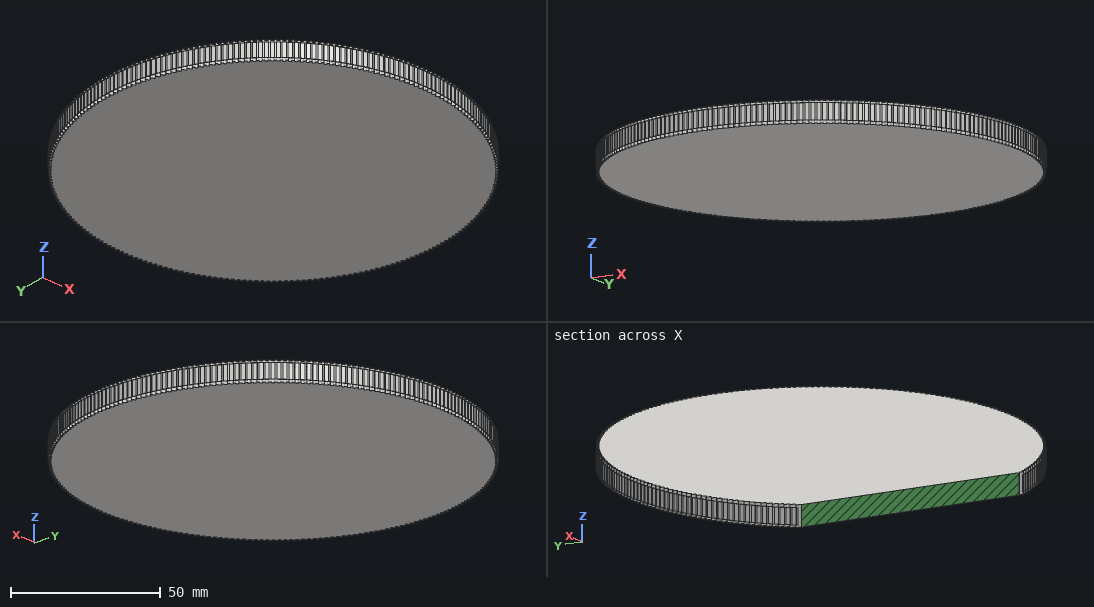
import cadquery as cq
import math

disc_diameter = 150.2
disc_height = 8.0
groove_count = 236
groove_width = 1.14
groove_depth = 0.83
lip_radius = 0.38
belt_thickness = 0.23
belt_step = 0.2
band_height = 1.0

disc_radius = disc_diameter / 2
tip_radius = disc_radius - belt_step
groove_half = groove_width / 2
pitch_angle = 2 * math.pi / groove_count
belt_height = disc_height - 2 * band_height

mouth_half = groove_half + lip_radius
mouth_radial = math.sqrt(tip_radius**2 - mouth_half**2)
lip_center = mouth_radial - lip_radius
lip_bulge = lip_radius * math.sqrt(0.5)
lip_middle_half = mouth_half - lip_bulge
lip_middle_radial = lip_center + lip_bulge


def rim_point(angle, radial, sideways):
    """Point given by its radial and sideways distance in the frame turned to the angle."""
    return cq.Vector(
        radial * math.cos(angle) - sideways * math.sin(angle),
        radial * math.sin(angle) + sideways * math.cos(angle),
    )


def groove_edges(angle):
    """Edges of one groove with its two lips, followed by the next tooth tip."""
    mouth_start = rim_point(angle, mouth_radial, -mouth_half)
    start_lip = rim_point(angle, lip_middle_radial, -lip_middle_half)
    floor_start = rim_point(angle, lip_center, -groove_half)
    floor_middle = rim_point(angle, tip_radius - groove_depth, 0)
    floor_end = rim_point(angle, lip_center, groove_half)
    end_lip = rim_point(angle, lip_middle_radial, lip_middle_half)
    mouth_end = rim_point(angle, mouth_radial, mouth_half)
    tooth_tip = rim_point(angle + pitch_angle / 2, tip_radius, 0)
    next_mouth = rim_point(angle + pitch_angle, mouth_radial, -mouth_half)
    return [
        cq.Edge.makeThreePointArc(mouth_start, start_lip, floor_start),
        cq.Edge.makeThreePointArc(floor_start, floor_middle, floor_end),
        cq.Edge.makeThreePointArc(floor_end, end_lip, mouth_end),
        cq.Edge.makeThreePointArc(mouth_end, tooth_tip, next_mouth),
    ]


def grooved_disc():
    """Disc whose rim has axial grooves with an arched floor and rounded lips."""
    edges = []
    for index in range(groove_count):
        edges += groove_edges((index + 0.5) * pitch_angle)
    outline = cq.Wire.assembleEdges(edges)
    return cq.Workplane(cq.Solid.extrudeLinear(outline, [], cq.Vector(0, 0, disc_height)))


def belt():
    """Thin smooth ring that closes the middle of every groove."""
    return (
        cq.Workplane("XY", origin=(0, 0, band_height))
        .circle(disc_radius)
        .circle(disc_radius - belt_thickness)
        .extrude(belt_height)
    )


result = grooved_disc().union(belt())